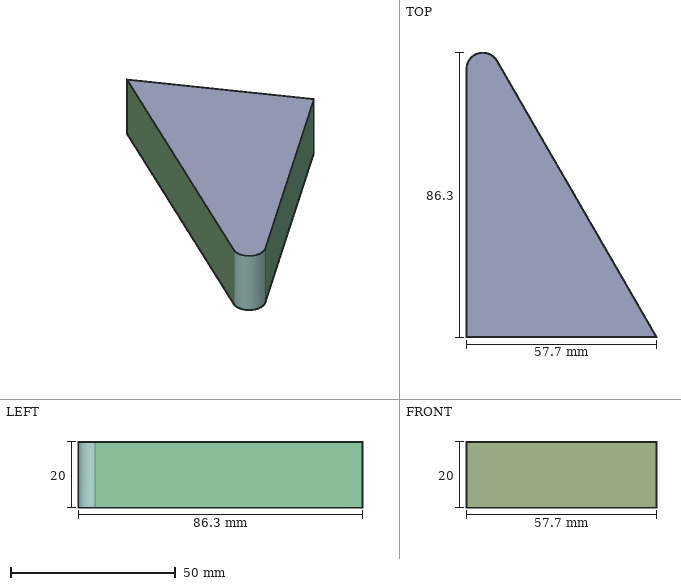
import cadquery as cq
import math

leg_length = 100.0
tip_angle = 30.0
tip_radius = 5.0
thickness = 20.0

base_width = leg_length * math.tan(math.radians(tip_angle))


def triangular_plate():
    """Right-angled triangular plate with its square corner at the origin."""
    outline = [(0, 0), (base_width, 0), (0, leg_length)]
    return cq.Workplane("XY").polyline(outline).close().extrude(thickness)


def round_tip(plate):
    """Round the vertical edge at the far +Y end of the plate."""
    return plate.edges("|Z").edges(">Y").fillet(tip_radius)


result = round_tip(triangular_plate())